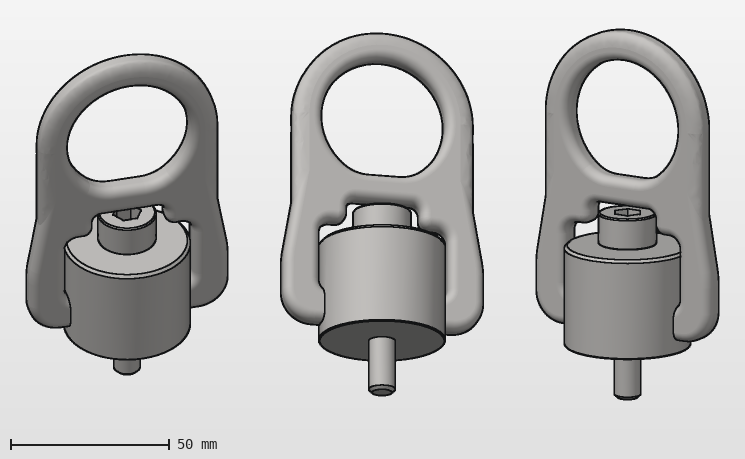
import cadquery as cq
import math


body_diameter = 40.0
body_height = 32.2
body_top_chamfer = 1.0
body_bottom_chamfer = 0.4
stud_diameter = 8.5
stud_length = 17.1
stud_chamfer = 1.1
head_diameter = 18.5
head_height = 10.0
head_gap = 0.7
head_top_chamfer = 0.5
head_bottom_chamfer = 0.2
socket_across_flats = 8.0
socket_depth = 6.0

overall_height = 119.0
thickness = 8.5
half_thickness = thickness / 2
edge_fillet = 3.0
arch_radius = 29.2
arch_center_z = overall_height - stud_length - arch_radius
rim_round_depth = 4.6
rim_half_flat = 1.3

foot_half_width = 32.5
foot_bottom_z = 4.3
foot_corner_radius = 10.0
flare_angle = math.radians(10)
flare_blend_radius = 28.6
flare_blend_bottom_z = 23.0
flare_top_z = 57.1

eye_radius = 20.0
eye_flat_drop = 18.2
eye_blend_radius = 12.0

window_half_width = 20.8
window_bottom_z = 14.6
window_shoulder_z = 38.0
window_bottom_radius = 3.3
window_shoulder_radius = 3.9
throat_half_width = 11.9
throat_top_z = 45.6
throat_top_radius = 2.9
throat_lip_radius = 3.1


def make_rim_section():
    """Cross-section from the arch centre out to the rounded rim, in the XY plane."""
    round_width = half_thickness - rim_half_flat
    return (
        cq.Workplane("XY", origin=(0, 0, arch_center_z))
        .moveTo(-half_thickness, 0)
        .lineTo(half_thickness, 0)
        .lineTo(half_thickness, arch_radius - rim_round_depth)
        .ellipseArc(round_width, rim_round_depth, 0, 90)
        .lineTo(-rim_half_flat, arch_radius)
        .ellipseArc(round_width, rim_round_depth, 90, 180)
        .close()
    )


def make_arch():
    """Round top of the shackle with straight legs reaching into the flared part."""
    leg_length = arch_center_z - window_shoulder_z
    disc = make_rim_section().revolve(360, (0, 0, 0), (1, 0, 0))
    leg = make_rim_section().extrude(-leg_length)
    return disc.union(leg).union(leg.mirror("XZ"))


def make_flared_plate():
    """Lower part of the shackle, widening downwards to a foot with round corners."""
    blend_top_y = foot_half_width - flare_blend_radius * (1 - math.cos(flare_angle))
    blend_top_z = flare_blend_bottom_z + flare_blend_radius * math.sin(flare_angle)
    blend_mid_y = foot_half_width - flare_blend_radius * (1 - math.cos(flare_angle / 2))
    blend_mid_z = flare_blend_bottom_z + flare_blend_radius * math.sin(flare_angle / 2)
    flare_top_y = blend_top_y - (flare_top_z - blend_top_z) * math.tan(flare_angle)
    plate = (
        cq.Workplane("YZ", origin=(-half_thickness, 0, 0))
        .moveTo(-foot_half_width, foot_bottom_z)
        .lineTo(foot_half_width, foot_bottom_z)
        .lineTo(foot_half_width, flare_blend_bottom_z)
        .threePointArc((blend_mid_y, blend_mid_z), (blend_top_y, blend_top_z))
        .lineTo(flare_top_y, flare_top_z)
        .lineTo(-flare_top_y, flare_top_z)
        .lineTo(-blend_top_y, blend_top_z)
        .threePointArc((-blend_mid_y, blend_mid_z), (-foot_half_width, flare_blend_bottom_z))
        .close()
        .extrude(thickness)
    )
    plate = plate.edges("|X and <Z").fillet(foot_corner_radius)
    return plate.faces("<Z").edges("|Y").fillet(edge_fillet)


def make_eye_cutter():
    """Through cutter for the eye: a circle blended into a flat bottom."""
    blend_y = math.sqrt((eye_radius - eye_blend_radius) ** 2 - (eye_flat_drop - eye_blend_radius) ** 2)
    blend_angle = math.atan2(blend_y, eye_flat_drop - eye_blend_radius)
    tangent_y = eye_radius * math.sin(blend_angle)
    tangent_z = -eye_radius * math.cos(blend_angle)
    blend_mid_y = blend_y + eye_blend_radius * math.sin(blend_angle / 2)
    blend_mid_z = eye_blend_radius - eye_flat_drop - eye_blend_radius * math.cos(blend_angle / 2)
    return (
        cq.Workplane("YZ", origin=(-half_thickness, 0, arch_center_z))
        .moveTo(-blend_y, -eye_flat_drop)
        .lineTo(blend_y, -eye_flat_drop)
        .threePointArc((blend_mid_y, blend_mid_z), (tangent_y, tangent_z))
        .threePointArc((0, eye_radius), (-tangent_y, tangent_z))
        .threePointArc((-blend_mid_y, blend_mid_z), (-blend_y, -eye_flat_drop))
        .close()
        .extrude(thickness)
    )


def make_window_cutter():
    """Through cutter for the stepped window around the body and the screw head."""
    def block(half_width, bottom_z, top_z):
        """Plain rectangular cutter centred on the shackle plane."""
        return (
            cq.Workplane("YZ", origin=(-half_thickness, 0, 0))
            .moveTo(0, (bottom_z + top_z) / 2)
            .rect(2 * half_width, top_z - bottom_z)
            .extrude(thickness)
        )

    wide = block(window_half_width, window_bottom_z, window_shoulder_z)
    wide = wide.edges("|X and <Z").fillet(window_bottom_radius)
    wide = wide.edges("|X and >Z").fillet(window_shoulder_radius)
    throat = block(throat_half_width, window_bottom_z, throat_top_z)
    throat = throat.edges("|X and >Z").fillet(throat_top_radius)
    lip_corners = cq.selectors.BoxSelector(
        (-thickness, -throat_half_width - 1.2, window_shoulder_z - 1.2),
        (thickness, throat_half_width + 1.2, window_shoulder_z + 1.2),
    )
    return wide.union(throat).edges("|X").edges(lip_corners).fillet(throat_lip_radius)


def make_shackle():
    """Complete shackle with rounded edges around both openings."""
    blank = make_arch().union(make_flared_plate())
    shackle = blank.cut(make_eye_cutter()).cut(make_window_cutter())
    opening_edges = [
        edge
        for face in shackle.faces("<X or >X").vals()
        for wire in face.innerWires()
        for edge in wire.Edges()
    ]
    return shackle.newObject(opening_edges).fillet(edge_fillet)


def make_body():
    """Cylindrical body with chamfered ends."""
    body = cq.Workplane("XY").circle(body_diameter / 2).extrude(body_height)
    return body.faces(">Z").chamfer(body_top_chamfer).faces("<Z").chamfer(body_bottom_chamfer)


def make_screw():
    """Socket-head screw standing on the body axis, passing through the body."""
    head_bottom_z = body_height + head_gap
    stud = (
        cq.Workplane("XY", origin=(0, 0, -stud_length))
        .circle(stud_diameter / 2)
        .extrude(stud_length + head_bottom_z)
        .faces("<Z")
        .chamfer(stud_chamfer)
    )
    head = (
        cq.Workplane("XY", origin=(0, 0, head_bottom_z))
        .circle(head_diameter / 2)
        .extrude(head_height)
        .faces(">Z")
        .chamfer(head_top_chamfer)
        .faces("<Z")
        .chamfer(head_bottom_chamfer)
    )
    socket = (
        cq.Workplane("XY", origin=(0, 0, head_bottom_z + head_height - socket_depth))
        .polygon(6, socket_across_flats, circumscribed=True)
        .extrude(socket_depth)
    )
    return stud.union(head.cut(socket))


result = make_body().union(make_screw()).union(make_shackle())